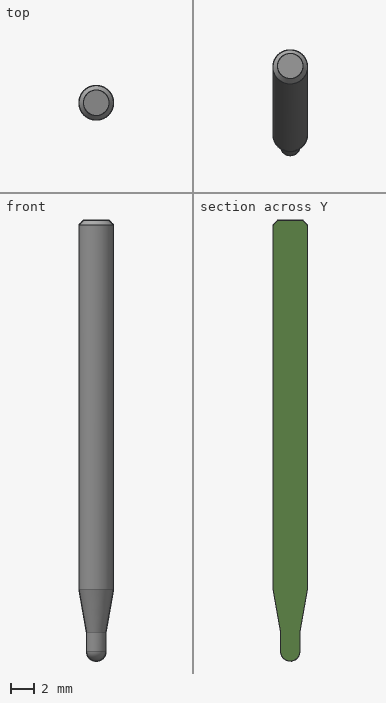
import cadquery as cq
import math

total_length = 38.0
shank_radius = 1.5
tip_radius = 0.85
neck_top_z = 2.5
taper_half_angle = 10.0
end_chamfer = 0.4

taper_length = (shank_radius - tip_radius) / math.tan(math.radians(taper_half_angle))
shank_bottom_z = neck_top_z + taper_length

arc_mid_offset = tip_radius * math.sqrt(0.5)


def make_half_profile():
    """Half section of the pin in the XZ plane, closed along the axis."""
    return (
        cq.Workplane("XZ")
        .moveTo(0, 0)
        .threePointArc((arc_mid_offset, tip_radius - arc_mid_offset), (tip_radius, tip_radius))
        .lineTo(tip_radius, neck_top_z)
        .lineTo(shank_radius, shank_bottom_z)
        .lineTo(shank_radius, total_length - end_chamfer)
        .lineTo(shank_radius - end_chamfer, total_length)
        .lineTo(0, total_length)
        .close()
    )


result = make_half_profile().revolve(360, (0, 0), (0, 1))